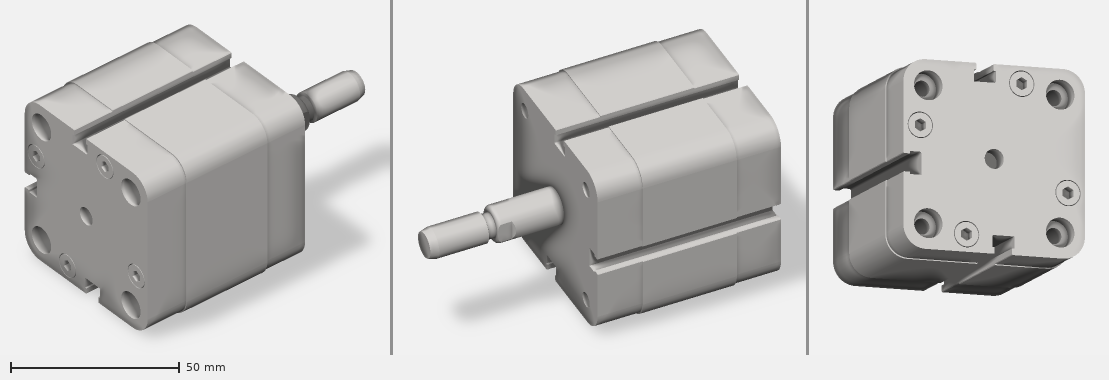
import cadquery as cq

total_length = 104.0
body_length = 60.6
cover_length = 14.8

barrel_width = 58.1
cover_width = 57.5
corner_radius = 7.0

mount_offset = 20.9
mount_diameter = 4.9
mount_bore_diameter = 9.0
mount_bore_depth = 5.6

center_hole_diameter = 6.0
center_hole_depth = 6.0

slot_offset = 2.9
slot_neck_width = 5.5
slot_mouth_chamfer = 0.2
slot_pocket_width = 7.0
slot_floor_height = 23.1
slot_step_height = 26.7
slot_corner_radius = 0.5

screw_across = 8.7
screw_out = 23.4
screw_hole_diameter = 8.0
screw_head_diameter = 7.5
screw_gap_depth = 4.2
hex_across_flats = 3.4
hex_depth = 3.6

rod_diameter = 12.0
rod_shoulder_from_tip = 21.9
rod_edge_radius = 1.4
thread_diameter = 10.0
tip_diameter = 8.5
tip_taper_length = 2.6
thread_length = 19.5
relief_diameter = 8.0
relief_taper_length = 0.4
wrench_width = 10.0
wrench_length = 4.6


def xz_plane(y):
    """Workplane at the given Y, with local x along X and local y along Z, extruding toward +Y."""
    return cq.Workplane(cq.Plane(origin=(0, y, 0), xDir=(1, 0, 0), normal=(0, -1, 0)))


def rounded_block(width, start, length):
    block = xz_plane(start).rect(width, width).extrude(-length)
    return block.edges("|Y").fillet(corner_radius)


def rear_cylinder(diameter, length, x, z):
    """Cylinder running forward from the rear face."""
    return xz_plane(0).center(x, z).circle(diameter / 2).extrude(-length)


def make_slot(body_width, start, length):
    """Stepped slot in the +Z side of a block, with its mouth edges chamfered."""
    pocket_half = slot_pocket_width / 2
    neck_half = slot_neck_width / 2
    mouth_half = neck_half + slot_mouth_chamfer
    block_top = body_width / 2
    chamfer_start = block_top - slot_mouth_chamfer
    rounded_start = slot_floor_height + slot_corner_radius
    slot = (
        xz_plane(start)
        .center(-slot_offset, 0)
        .moveTo(-pocket_half, slot_floor_height)
        .lineTo(pocket_half - slot_corner_radius, slot_floor_height)
        .radiusArc((pocket_half, rounded_start), -slot_corner_radius)
        .lineTo(pocket_half, slot_step_height)
        .lineTo(neck_half, slot_step_height)
        .lineTo(neck_half, chamfer_start)
        .lineTo(mouth_half, block_top)
        .lineTo(-mouth_half, block_top)
        .lineTo(-neck_half, chamfer_start)
        .lineTo(-neck_half, slot_step_height)
        .lineTo(-pocket_half, slot_step_height)
        .close()
        .extrude(-length)
    )
    return slot


def turned(shape, quarter_turns):
    """Shape turned about the cylinder axis, so that +Z goes to -X after one quarter turn."""
    return shape.rotate((0, 0, 0), (0, 1, 0), -90 * quarter_turns)


def slotted_block(width, start, length):
    """Rounded block with slots on its +Z, -X and -Z sides."""
    block = rounded_block(width, start, length)
    slot = make_slot(width, start, length)
    for quarter_turns in range(3):
        block = block.cut(turned(slot, quarter_turns))
    return block


def make_screw_recess(x, z):
    """Ring gap around a flush screw head, plus its hexagon socket with corners up and down."""
    gap = rear_cylinder(screw_hole_diameter, screw_gap_depth, x, z)
    head = rear_cylinder(screw_head_diameter, screw_gap_depth, x, z)
    socket = xz_plane(0).center(x, z).polygon(6, hex_across_flats, circumscribed=True).extrude(-hex_depth)
    return gap.cut(head).union(socket)


def make_rod():
    tip = total_length
    thread_end = tip - thread_length
    shoulder = tip - rod_shoulder_from_tip
    rod_radius = rod_diameter / 2
    thread_radius = thread_diameter / 2
    relief_radius = relief_diameter / 2
    rod = (
        cq.Workplane("XY")
        .moveTo(0, body_length / 2)
        .lineTo(rod_radius, body_length / 2)
        .lineTo(rod_radius, shoulder - rod_edge_radius)
        .radiusArc((rod_radius - rod_edge_radius, shoulder), -rod_edge_radius)
        .lineTo(relief_radius, shoulder)
        .lineTo(relief_radius, thread_end)
        .lineTo(thread_radius, thread_end + relief_taper_length)
        .lineTo(thread_radius, tip - tip_taper_length)
        .lineTo(tip_diameter / 2, tip)
        .lineTo(0, tip)
        .close()
        .revolve(360, (0, 0, 0), (0, 1, 0))
    )
    return rod.cut(make_wrench_flat()).cut(make_wrench_flat().mirror("YZ"))


def make_wrench_flat():
    """Cutter for the +X wrench flat, ending in a 45 degree ramp."""
    shoulder = total_length - rod_shoulder_from_tip
    flat_end = shoulder - wrench_length
    flat_x = wrench_width / 2
    ramp = rod_diameter / 2 - flat_x
    return (
        cq.Workplane("XY")
        .moveTo(flat_x, shoulder)
        .lineTo(flat_x, flat_end)
        .lineTo(flat_x + ramp, flat_end - ramp)
        .lineTo(flat_x + ramp, shoulder)
        .close()
        .extrude(rod_diameter / 2, both=True)
    )


barrel_length = body_length - 2 * cover_length
front_cover_start = body_length - cover_length
body = slotted_block(barrel_width, cover_length, barrel_length)
for cover_start in (0, front_cover_start):
    body = body.union(slotted_block(cover_width, cover_start, cover_length))

screw_x, screw_z = screw_across, screw_out
for _ in range(4):
    body = body.cut(make_screw_recess(screw_x, screw_z))
    screw_x, screw_z = -screw_z, screw_x

for x in (-mount_offset, mount_offset):
    for z in (-mount_offset, mount_offset):
        body = body.cut(rear_cylinder(mount_diameter, body_length, x, z))
        body = body.cut(rear_cylinder(mount_bore_diameter, mount_bore_depth, x, z))

body = body.cut(rear_cylinder(center_hole_diameter, center_hole_depth, 0, 0))

result = body.union(make_rod())